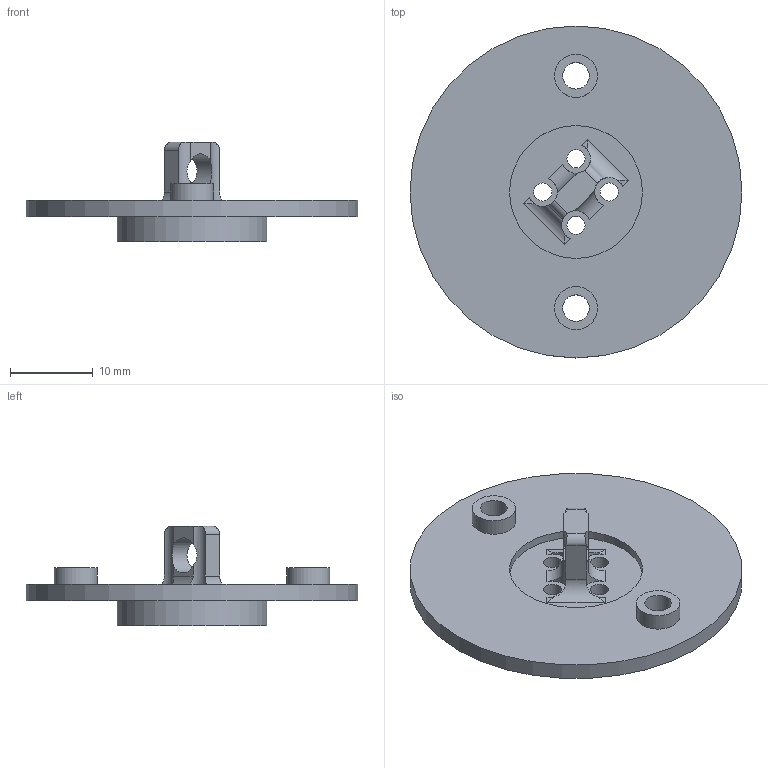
import cadquery as cq
import math

disc_diameter = 40.0
disc_thickness = 2.0
spigot_diameter = 18.0
spigot_height = 3.0

recess_diameter = 16.0
recess_depth = 1.0

boss_diameter = 5.2
boss_height = 2.0
boss_hole_diameter = 3.2
boss_offset = 14.0

lug_length = 7.0
lug_thickness = 3.0
lug_height = 7.0
lug_angle = 45.0
lug_root_radius = 2.0
lug_top_radius = 1.0
eye_diameter = 4.2
eye_height = 3.5

screw_hole_diameter = 2.2
screw_head_diameter = 3.5
screw_circle_radius = 4.0
screw_count = 4

floor_z = disc_thickness - recess_depth
lug_top_z = disc_thickness + lug_height


def cylinder(diameter, bottom_z, top_z, points=((0, 0),)):
    """Vertical cylinders between two heights, one at each point."""
    return (
        cq.Workplane("XY", origin=(0, 0, bottom_z))
        .pushPoints(points)
        .circle(diameter / 2)
        .extrude(top_z - bottom_z)
    )


def flared_profile(plane, width, depth):
    """Upright slab of the given width that flares out to the recess floor."""
    half = width / 2
    radius = lug_root_radius
    foot = half + radius
    shoulder_z = floor_z + radius
    arc_inset = radius * math.sqrt(0.5)
    arc_y = foot - arc_inset
    arc_z = shoulder_z - arc_inset
    return (
        cq.Workplane(plane)
        .moveTo(-foot, floor_z)
        .lineTo(foot, floor_z)
        .threePointArc((arc_y, arc_z), (half, shoulder_z))
        .lineTo(half, lug_top_z)
        .lineTo(-half, lug_top_z)
        .lineTo(-half, shoulder_z)
        .threePointArc((-arc_y, arc_z), (-foot, floor_z))
        .close()
        .extrude(depth / 2, both=True)
    )


def make_base():
    """Disc, spigot and bosses, with the recess cut into the disc."""
    boss_points = [(0, boss_offset), (0, -boss_offset)]
    disc = cylinder(disc_diameter, 0, disc_thickness)
    spigot = cylinder(spigot_diameter, -spigot_height, 0)
    bosses = cylinder(boss_diameter, 0, disc_thickness + boss_height, boss_points)
    boss_holes = cylinder(boss_hole_diameter, 0, disc_thickness + boss_height, boss_points)
    recess = cylinder(recess_diameter, floor_z, disc_thickness)
    return disc.union(spigot).union(bosses).cut(boss_holes).cut(recess)


def make_lug():
    """Lug with mitred root flares, rounded top ends and a cross eye."""
    foot_length = lug_length + 2 * lug_root_radius
    foot_thickness = lug_thickness + 2 * lug_root_radius
    along = flared_profile("XZ", lug_length, foot_thickness)
    along = along.edges("|Y").edges(">Z").fillet(lug_top_radius)
    across = flared_profile("YZ", lug_thickness, foot_length)
    eye = (
        cq.Workplane("XZ", origin=(0, foot_thickness / 2, disc_thickness + eye_height))
        .circle(eye_diameter / 2)
        .extrude(foot_thickness)
    )
    lug = along.intersect(across).cut(eye)
    return lug.rotate((0, 0, 0), (0, 0, 1), lug_angle)


def make_screw_cuts():
    """Through holes plus head clearances that rise from the recess floor."""
    points = []
    for index in range(screw_count):
        angle = 2 * math.pi * index / screw_count
        x = screw_circle_radius * math.cos(angle)
        y = screw_circle_radius * math.sin(angle)
        points.append((x, y))
    holes = cylinder(screw_hole_diameter, -spigot_height, floor_z, points)
    head_clearances = cylinder(screw_head_diameter, floor_z, lug_top_z, points)
    return holes.union(head_clearances)


result = make_base().union(make_lug()).cut(make_screw_cuts())